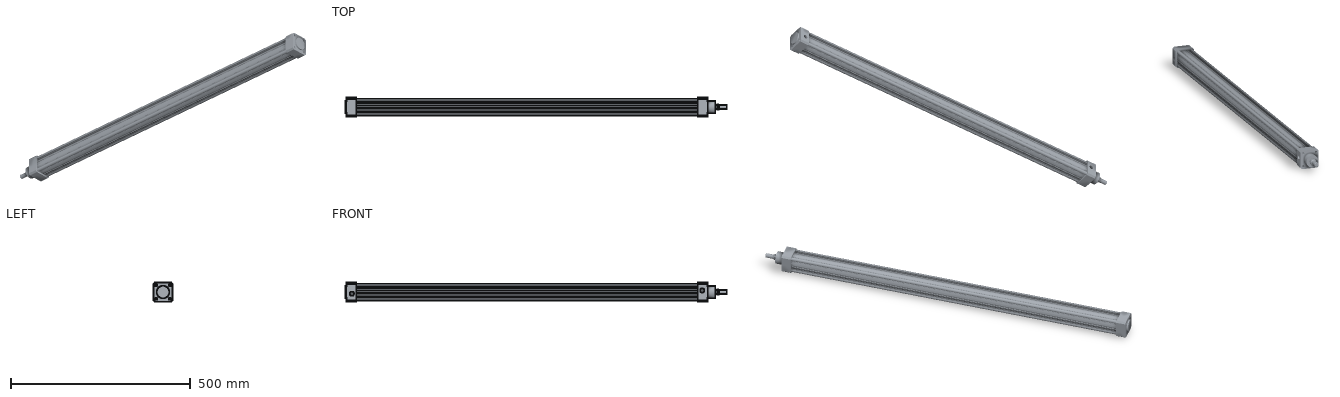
import cadquery as cq


CAP_SIZE = 54.0
CAP_LENGTH = 27.0
CAP_CHAMFER = 4.58
STROKE = 900.0
BODY_LENGTH = STROKE + 105.0
BOSS_DIAMETER = 35.0
REAR_BOSS_LENGTH = 4.0
FRONT_BOSS_LENGTH = 21.5

HOLE_SPACING = 38.0
HOLE_DIAMETER = 6.0
HOLE_DEPTH = 16.0

PORT_DIAMETER = 12.0
PORT_DEPTH = 12.0
PORT_FROM_FACE = 15.0
PORT_OFFSET = 4.5

POST_RADIUS = 4.9
TUBE_RADIUS = 23.0
CHANNEL_WIDTH = 9.6
CHANNEL_DEPTH = 1.0
CHANNEL_CROWN = 1.0
GROOVE_INNER = 10.9
GROOVE_OUTER = 16.0
GROOVE_FLOOR = 20.0

ROD_DIAMETER = 16.0
ROD_PROJECTION = 30.0
FLATS_WIDTH = 13.0
FLATS_LENGTH = 5.0
FLATS_FROM_SHOULDER = 1.5
SHOULDER_CONE = 2.0
THREAD_DIAMETER = 12.0
THREAD_LENGTH = 24.0
THREAD_CHAMFER = 1.0

rear_face = REAR_BOSS_LENGTH
barrel_start = rear_face + CAP_LENGTH
front_face = rear_face + BODY_LENGTH
barrel_end = front_face - CAP_LENGTH
shoulder = front_face + ROD_PROJECTION
rod_tip = shoulder + THREAD_LENGTH


def along_x(x):
    """Sketch plane across the axis; its local x is +Z and its local y is -Y."""
    return cq.Workplane(cq.Plane(origin=(x, 0, 0), xDir=(0, 0, 1), normal=(1, 0, 0)))


def cylinder(start, length, diameter):
    return along_x(start).circle(diameter / 2).extrude(length)


def mounting_holes(start):
    return (
        along_x(start)
        .rect(HOLE_SPACING, HOLE_SPACING, forConstruction=True)
        .vertices()
        .circle(HOLE_DIAMETER / 2)
        .extrude(HOLE_DEPTH)
    )


def port(x, z):
    """Blind round port entering from the -Y side."""
    return (
        cq.Workplane("XZ", origin=(x, -CAP_SIZE / 2, z))
        .circle(PORT_DIAMETER / 2)
        .extrude(-PORT_DEPTH)
    )


def cap_block(start):
    block = along_x(start).rect(CAP_SIZE, CAP_SIZE).extrude(CAP_LENGTH)
    return block.edges("|X").chamfer(CAP_CHAMFER)


def make_rear_cap():
    cap = cap_block(rear_face).union(cylinder(0, REAR_BOSS_LENGTH, BOSS_DIAMETER))
    cap = cap.cut(mounting_holes(rear_face))
    return cap.cut(port(rear_face + PORT_FROM_FACE, -PORT_OFFSET))


def make_front_cap():
    cap = cap_block(barrel_end)
    cap = cap.union(cylinder(front_face, FRONT_BOSS_LENGTH, BOSS_DIAMETER))
    cap = cap.cut(mounting_holes(front_face - HOLE_DEPTH))
    cap = cap.cut(port(front_face - PORT_FROM_FACE, PORT_OFFSET))
    rod_bore = cylinder(barrel_end, CAP_LENGTH + FRONT_BOSS_LENGTH, ROD_DIAMETER)
    return cap.cut(rod_bore)


def side_cutter(length):
    """The middle channel and the two grooves beside the posts, for the +Z side."""
    ridge = TUBE_RADIUS - CHANNEL_DEPTH
    half_width = CHANNEL_WIDTH / 2
    outside = CAP_SIZE / 2
    channel = (
        along_x(barrel_start)
        .moveTo(outside, -half_width)
        .lineTo(ridge - CHANNEL_CROWN, -half_width)
        .lineTo(ridge, 0)
        .lineTo(ridge - CHANNEL_CROWN, half_width)
        .lineTo(outside, half_width)
        .close()
        .extrude(length)
    )
    groove_middle = (GROOVE_INNER + GROOVE_OUTER) / 2
    groove_centre = (GROOVE_FLOOR + outside) / 2
    grooves = (
        along_x(barrel_start)
        .pushPoints([(groove_centre, -groove_middle), (groove_centre, groove_middle)])
        .rect(outside - GROOVE_FLOOR, GROOVE_OUTER - GROOVE_INNER)
        .extrude(length)
    )
    return channel.union(grooves)


def make_barrel():
    length = barrel_end - barrel_start
    barrel = cylinder(barrel_start, length, 2 * TUBE_RADIUS)
    posts = (
        along_x(barrel_start)
        .rect(HOLE_SPACING, HOLE_SPACING, forConstruction=True)
        .vertices()
        .circle(POST_RADIUS)
        .extrude(length)
    )
    barrel = barrel.union(posts)
    for side in range(4):
        cutter = side_cutter(length).rotate((0, 0, 0), (1, 0, 0), 90 * side)
        barrel = barrel.cut(cutter)
    return barrel


def make_rod():
    """Turned rod with its thread, and four wrench flats behind the shoulder."""
    rod_radius = ROD_DIAMETER / 2
    thread_radius = THREAD_DIAMETER / 2
    rod = (
        cq.Workplane("XY")
        .moveTo(barrel_end, 0)
        .lineTo(barrel_end, rod_radius)
        .lineTo(shoulder, rod_radius)
        .lineTo(shoulder + SHOULDER_CONE, thread_radius)
        .lineTo(rod_tip - THREAD_CHAMFER, thread_radius)
        .lineTo(rod_tip, thread_radius - THREAD_CHAMFER)
        .lineTo(rod_tip, 0)
        .close()
        .revolve(360, (0, 0, 0), (1, 0, 0))
    )
    flats = (
        along_x(shoulder - FLATS_FROM_SHOULDER - FLATS_LENGTH)
        .circle(ROD_DIAMETER)
        .rect(FLATS_WIDTH, FLATS_WIDTH)
        .extrude(FLATS_LENGTH)
    )
    return rod.cut(flats)


rear_cap = make_rear_cap()
front_cap = make_front_cap()
barrel = make_barrel()
rod = make_rod()

result = cq.Compound.makeCompound([rear_cap.val(), barrel.val(), front_cap.val(), rod.val()])